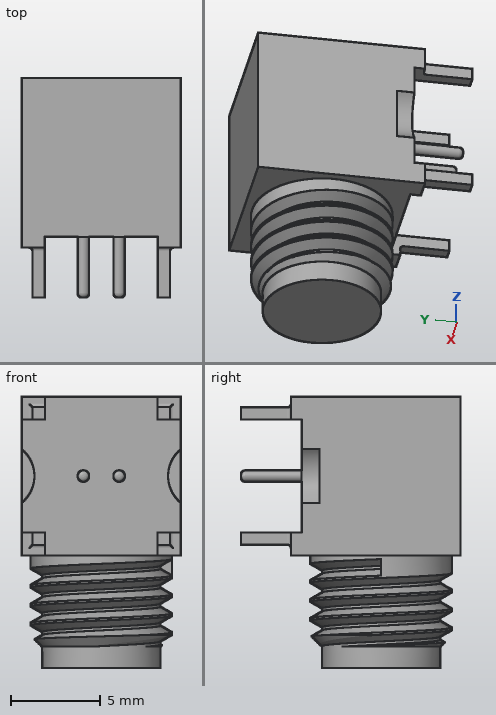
import cadquery as cq
import math


housing_size = 8.9
half_housing = housing_size / 2
contact_face_y = -half_housing

foot_size = 1.3
foot_height = 0.6
leg_size = 0.7
pin_reach = 3.4
leg_fillet = 0.2

contact_diameter = 0.65
contact_pitch = 2.0
contact_tip_fillet = 0.25

scallop_depth_y = 1.0
scallop_chord = 3.0
scallop_bite = 0.71
scallop_radius = ((scallop_chord / 2) ** 2 + scallop_bite**2) / (2 * scallop_bite)

barrel_length = 6.3
thread_length = 5.1
thread_diameter = 7.94
thread_radius = thread_diameter / 2
threads_per_inch = 24
inch = 25.4
thread_pitch = inch / threads_per_inch
flank_angle = math.radians(30)
groove_depth = 0.65
groove_turns = 5
groove_start_z = -0.66
core_radius = thread_radius - groove_depth
crest_width = thread_pitch / 8


def make_housing():
    housing = cq.Workplane("XY").box(
        housing_size, housing_size, housing_size, centered=(True, True, False)
    )
    scallop_center_x = half_housing - scallop_bite + scallop_radius
    scallops = (
        cq.Workplane("XZ", origin=(0, contact_face_y, half_housing))
        .pushPoints([(-scallop_center_x, 0), (scallop_center_x, 0)])
        .circle(scallop_radius)
        .extrude(-scallop_depth_y)
    )
    return housing.cut(scallops)


def make_upper_left_foot():
    """Foot at the -X, +Z corner; its leg is flush with the two inner sides of the foot."""
    foot_inner_x = -half_housing + foot_size
    foot_inner_z = housing_size - foot_size
    foot_face_y = contact_face_y - foot_height
    leg_outer_x = foot_inner_x - leg_size
    leg_outer_z = foot_inner_z + leg_size

    foot = cq.Workplane("XY").box(foot_size, foot_height, foot_size, centered=False)
    foot = foot.translate((-half_housing, foot_face_y, foot_inner_z))
    leg = cq.Workplane("XY").box(leg_size, pin_reach, leg_size, centered=False)
    leg = leg.translate((leg_outer_x, contact_face_y - pin_reach, foot_inner_z))

    leg_middle_x = foot_inner_x - leg_size / 2
    leg_middle_z = foot_inner_z + leg_size / 2
    side_edge = cq.selectors.NearestToPointSelector((leg_outer_x, foot_face_y, leg_middle_z))
    top_edge = cq.selectors.NearestToPointSelector((leg_middle_x, foot_face_y, leg_outer_z))
    return foot.union(leg).edges(side_edge + top_edge).fillet(leg_fillet)


def make_feet():
    upper_left = make_upper_left_foot()
    left_pair = upper_left.union(upper_left.mirror("XY", (0, 0, half_housing)))
    return left_pair.union(left_pair.mirror("YZ"))


def make_contacts():
    return (
        cq.Workplane("XZ", origin=(0, contact_face_y, half_housing))
        .pushPoints([(-contact_pitch / 2, 0), (contact_pitch / 2, 0)])
        .circle(contact_diameter / 2)
        .extrude(pin_reach)
        .faces("<Y")
        .edges()
        .fillet(contact_tip_fillet)
    )


def make_thread_groove():
    """Right-handed helical groove, reaching past the thread on both its outer and inner sides."""
    inner_overlap = 0.1
    outer_overlap = 0.05
    flank_slope = math.tan(flank_angle)
    half_opening = (thread_pitch - crest_width) / 2
    inner_radius = core_radius - inner_overlap
    outer_radius = thread_radius + outer_overlap
    inner_half_width = half_opening - (groove_depth + inner_overlap) * flank_slope
    outer_half_width = half_opening + outer_overlap * flank_slope

    groove_length = groove_turns * thread_pitch
    groove_end_z = groove_start_z - groove_length
    helix = cq.Wire.makeHelix(thread_pitch, groove_length, thread_radius)
    helix = helix.translate(cq.Vector(0, 0, groove_end_z))
    return (
        cq.Workplane("XZ")
        .moveTo(inner_radius, groove_end_z - inner_half_width)
        .lineTo(outer_radius, groove_end_z - outer_half_width)
        .lineTo(outer_radius, groove_end_z + outer_half_width)
        .lineTo(inner_radius, groove_end_z + inner_half_width)
        .close()
        .sweep(helix, isFrenet=True)
    )


def make_barrel():
    core = cq.Workplane("XY").circle(core_radius).extrude(-barrel_length)
    thread = (
        cq.Workplane("XY")
        .circle(thread_radius)
        .extrude(-thread_length)
        .faces("<Z")
        .chamfer(groove_depth)
    )
    return thread.cut(make_thread_groove()).union(core)


result = make_housing().union(make_feet()).union(make_contacts()).union(make_barrel())